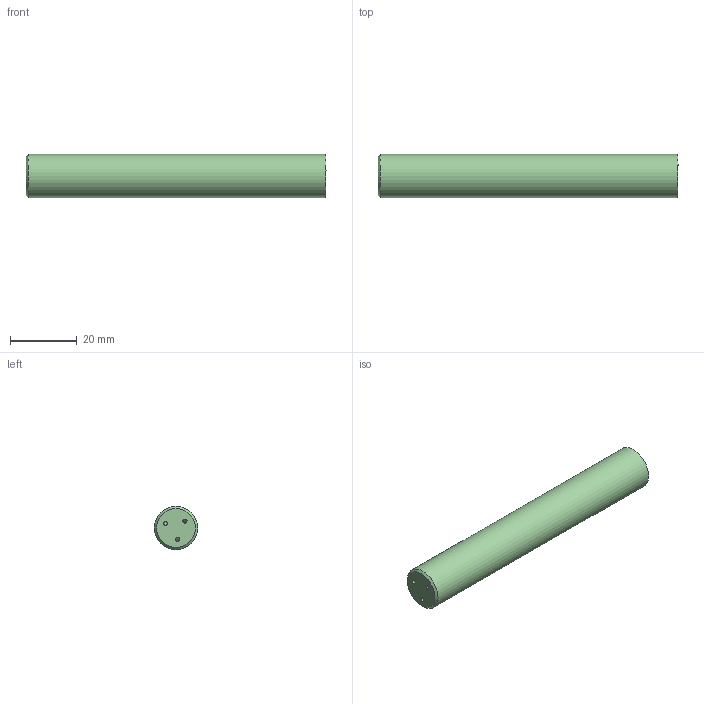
import cadquery as cq
import math

length = 90.0
diameter = 13.0
chamfer = 0.65

channel_count = 3
channel_diameter = 1.2
channel_circle_radius = 3.4
first_channel_angle = 22.0
helix_pitch = 68.0

channel_spacing = 360.0 / channel_count
channel_twist = 360.0 * length / helix_pitch


def make_rod():
    """Plain rod from X = 0 to X = length, chamfered around its -X end."""
    rod = cq.Workplane("YZ").circle(diameter / 2).extrude(length)
    return rod.faces("<X").edges().chamfer(chamfer)


def make_channel(start_angle):
    """Helical cutter that starts at start_angle degrees on the -X end face."""
    start = math.radians(start_angle)
    start_y = channel_circle_radius * math.cos(start)
    start_z = channel_circle_radius * math.sin(start)
    section = cq.Workplane("YZ").moveTo(start_y, start_z).circle(channel_diameter / 2)
    return section.twistExtrude(length, channel_twist)


def cut_channels(body):
    """Cut the equally spaced helical channels through the body."""
    for index in range(channel_count):
        body = body.cut(make_channel(first_channel_angle + index * channel_spacing))
    return body


result = cut_channels(make_rod())